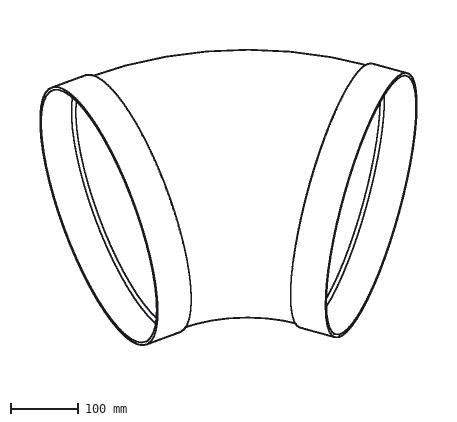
import cadquery as cq
import math

bend_angle = 45.0
collar_diameter = 409.0
pipe_diameter = 400.0
wall = (collar_diameter - pipe_diameter) / 2
bore_diameter = pipe_diameter - 2 * wall

center_to_end = 220.0
collar_length = 55.0
socket_depth = 50.0
bend_radius = (center_to_end - collar_length) / math.tan(math.radians(bend_angle / 2))


def at_inlet(depth):
    """Workplane across the inlet axis, facing +Y, at a depth from the open end."""
    return cq.Workplane(cq.Plane(origin=(0, depth, 0), xDir=(1, 0, 0), normal=(0, 1, 0)))


def at_outlet(depth):
    """Workplane across the outlet axis, facing into the elbow, at a depth from the open end."""
    angle = math.radians(bend_angle)
    distance = center_to_end - depth
    origin = (distance * math.sin(angle), center_to_end + distance * math.cos(angle), 0)
    inward = (-math.sin(angle), -math.cos(angle), 0)
    return cq.Workplane(cq.Plane(origin=origin, xDir=(0, 0, 1), normal=inward))


def bent_rod(diameter):
    """Solid rod along the bend, between the inner faces of the two collars."""
    return (
        at_inlet(collar_length)
        .circle(diameter / 2)
        .revolve(bend_angle, (bend_radius, 0), (bend_radius, 1))
    )


def collar(end):
    """Ring around the mating pipe, whose socket tapers down to the bore at its inner end."""
    ring = end(0).circle(collar_diameter / 2).extrude(collar_length)
    socket = end(0).circle(pipe_diameter / 2).extrude(socket_depth)
    taper = (
        end(socket_depth)
        .circle(pipe_diameter / 2)
        .workplane(offset=collar_length - socket_depth)
        .circle(bore_diameter / 2)
        .loft()
    )
    return ring.cut(socket).cut(taper)


bend = bent_rod(pipe_diameter).cut(bent_rod(bore_diameter))
result = bend.union(collar(at_inlet)).union(collar(at_outlet))